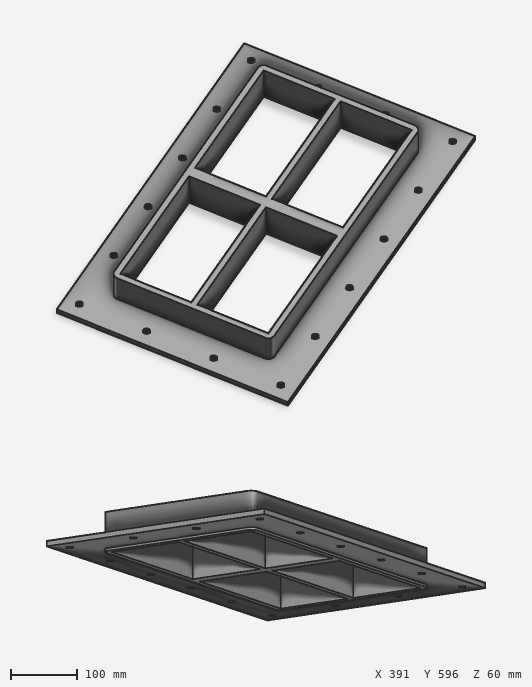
import cadquery as cq

flange_x = 391.0
flange_y = 596.0
flange_thickness = 8.5

frame_margin = 60.0
frame_x = flange_x - 2 * frame_margin
frame_y = flange_y - 2 * frame_margin
frame_height = 60.0
frame_drop = 4.0
corner_radius = 10.0

wall = 10.0
long_bar_width = 10.0
cross_bar_width = 19.0
window_x = (frame_x - 2 * wall - long_bar_width) / 2
window_y = (frame_y - 2 * wall - cross_bar_width) / 2

hole_diameter = 11.0
hole_inset = 25.0
holes_along_x = 4
holes_along_y = 6
hole_pitch_x = (flange_x - 2 * hole_inset) / (holes_along_x - 1)
hole_pitch_y = (flange_y - 2 * hole_inset) / (holes_along_y - 1)


def make_flange():
    """Flat plate with a single row of bolt holes along its border."""
    plate = (
        cq.Workplane("XY")
        .workplane(offset=frame_drop)
        .rect(flange_x, flange_y)
        .extrude(flange_thickness)
    )
    border_points = []
    for column in range(holes_along_x):
        for row in range(holes_along_y):
            if column in (0, holes_along_x - 1) or row in (0, holes_along_y - 1):
                x = -flange_x / 2 + hole_inset + column * hole_pitch_x
                y = -flange_y / 2 + hole_inset + row * hole_pitch_y
                border_points.append((x, y))
    return plate.faces(">Z").workplane().pushPoints(border_points).hole(hole_diameter)


def make_frame_block():
    """Solid block with rounded vertical corners."""
    block = cq.Workplane("XY").rect(frame_x, frame_y).extrude(frame_height)
    return block.edges("|Z").fillet(corner_radius)


def make_windows():
    """Four sharp-cornered openings through the full height."""
    return (
        cq.Workplane("XY")
        .rarray(window_x + long_bar_width, window_y + cross_bar_width, 2, 2)
        .rect(window_x, window_y)
        .extrude(frame_height)
    )


result = make_flange().union(make_frame_block()).cut(make_windows())